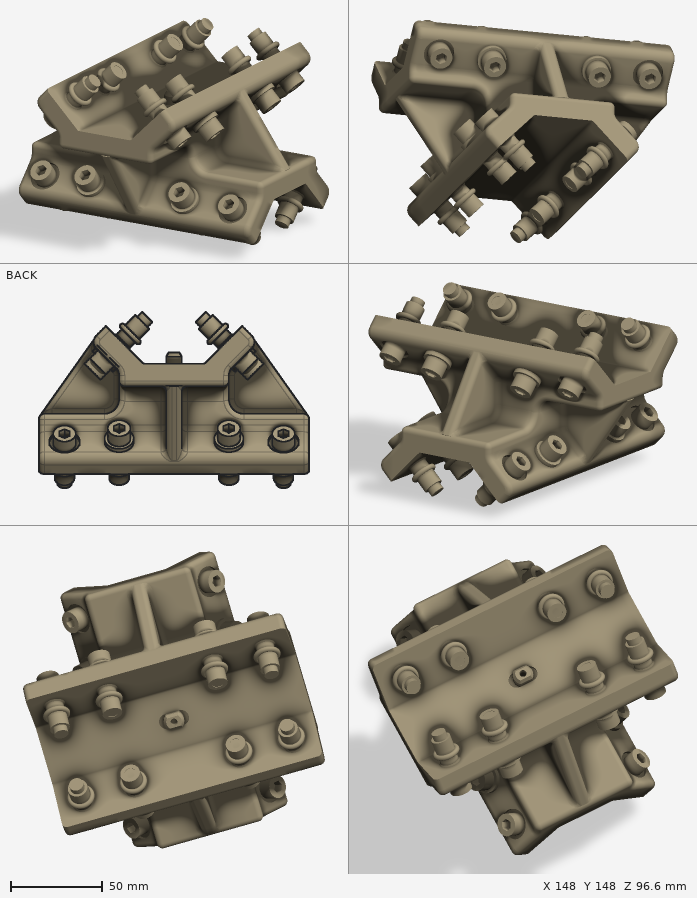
import cadquery as cq
import math

length = 148.0
floor_height = 20.0
floor_half_width = 16.7
thickness = 12.5
wing_tip_x = 37.3
core_half_width = 30.0

back_height = floor_height - thickness
wing_tip_z = floor_height + wing_tip_x - floor_half_width
wing_step = thickness / math.sqrt(2)
wing_corner_x = wing_tip_x + wing_step
wing_corner_z = wing_tip_z - wing_step
wing_root_z = wing_corner_z - (wing_corner_x - core_half_width)

floor_corner_radius = 1.5
wing_radius = 5.0
core_blend_radius = 8.1
edge_radius = 3.0

rib_thickness = 8.6
rib_foot_x = 72.7
rib_top_x = 43.2
rib_top_z = 34.0
rib_edge_radius = 3.0
rib_root_radius = 3.0
rib_embed = 3.0

bolt_wing_x = 28.4
outer_bolt_y = 60.0
inner_bolt_y = 30.0
bolt_tilt = 45
flare_radius = 6.0
flare_height = 0.7
neck_radius = 5.2
ring_position = 6.4
ring_radius = 7.5
ring_half_height = 1.3
sleeve_radius = 5.5
sleeve_end = 15.7
thread_radius = 4.0
thread_end = 19.5
recess_radius = 3.1
recess_depth = 0.3
head_radius = 6.2
head_height = 8.0
socket_width = 5.9
socket_turn = 30
socket_depth = 5.5
spotface_radius = 8.5
spotface_depth = 1.6
washer_radius = 8.0
washer_thickness = 2.5

key_width = 8.6
key_radius = 5.6
key_height = 6.0
key_bevel_height = 2.2
key_bevel_width = 1.3
slot_length = 16.7
slot_depth = 1.5
pin_hole_radius = 1.9

overlap = 0.7
tolerance = 0.07


def edges_near(body, points):
    """Edges of the body whose midpoint lies at one of the points."""
    found = []
    for edge in body.edges().vals():
        middle = edge.positionAt(0.5)
        if any((middle - cq.Vector(*p)).Length < tolerance for p in points):
            found.append(edge)
    return body.newObject(found)


def turn_over(body):
    """Map the upper half of the part onto the lower half."""
    return body.rotate((0, 0, 0), (1, 1, 0), 180)


def cradle():
    """Upper channel along Y, with its lengthwise corners rounded."""
    half = [
        (floor_half_width, floor_height),
        (wing_tip_x, wing_tip_z),
        (wing_corner_x, wing_corner_z),
        (core_half_width, wing_root_z),
        (core_half_width, back_height),
    ]
    outline = half + [(-x, z) for x, z in reversed(half)]
    body = cq.Workplane("XZ").polyline(outline).close().extrude(length / 2, both=True)
    for (x, z), radius in (
        (half[0], floor_corner_radius),
        (half[2], wing_radius),
        (half[3], wing_radius),
    ):
        body = edges_near(body, [(x, 0, z), (-x, 0, z)]).fillet(radius)
    return body


def half_frame():
    """Upper cradle standing on the core, with its outer edges rounded."""
    c = core_half_width
    column = cq.Workplane("XY").box(2 * c, 2 * c, 2 * (back_height + overlap))
    body = cradle().union(column).clean()

    body = edges_near(body, [(0, y, back_height) for y in (-c, c)]).fillet(core_blend_radius)

    chain_y = (length / 2 + c + core_blend_radius) / 2
    chain_edges = [(x, y, back_height) for x in (-c, c) for y in (-chain_y, chain_y)]
    body = edges_near(body, chain_edges).fillet(edge_radius)

    return body.newObject(end_edges(body)).fillet(edge_radius)


def end_edges(body):
    """Edges of the two end faces, apart from those along the floor and the inner wing faces."""
    kept = []
    for edge in body.faces("<Y or >Y").edges().vals():
        middle = edge.positionAt(0.5)
        inner_z = floor_height + max(abs(middle.x) - floor_half_width, 0)
        if middle.z < inner_z - overlap:
            kept.append(edge)
    return kept


def rib():
    """Web above the lower cradle's back, from its +X end up to the upper cradle's wing."""
    core_x = core_half_width / 2
    outline = [
        (core_x, -back_height - rib_embed),
        (rib_foot_x - rib_embed, -back_height - rib_embed),
        (rib_foot_x, -back_height),
        (rib_top_x, rib_top_z),
        (core_half_width, wing_root_z + rib_embed),
        (core_x, wing_root_z),
    ]
    web = cq.Workplane("XZ").polyline(outline).close().extrude(rib_thickness / 2, both=True)
    middle_x = (rib_foot_x + rib_top_x) / 2
    middle_z = (rib_top_z - back_height) / 2
    sides = [(middle_x, y, middle_z) for y in (-rib_thickness / 2, rib_thickness / 2)]
    return edges_near(web, sides).fillet(rib_edge_radius)


def add_rib(body):
    """Join a rib to the +X side of the body and blend its root into the faces around it."""
    body = body.union(rib())
    root_edges = []
    for edge in body.edges().vals():
        box = edge.BoundingBox()
        on_rib_side = box.ylen < tolerance and abs(abs(box.center.y) - rib_thickness / 2) < tolerance
        is_outer_slope = box.zlen > rib_top_z / 2
        if on_rib_side and box.xmin > 0 and not is_outer_slope:
            root_edges.append(edge)
    return body.newObject(root_edges).fillet(rib_root_radius)


def frame():
    """Both halves joined back to back, with four ribs."""
    upper = half_frame()
    body = upper.union(turn_over(upper))
    for _ in range(2):
        for _ in range(2):
            body = add_rib(body).rotate((0, 0, 0), (0, 0, 1), 180)
        body = turn_over(body)
    return body


def bolt_cylinder(start, end, radius):
    """Cylinder about the vertical axis between two heights."""
    return cq.Workplane("XY").workplane(offset=start).circle(radius).extrude(end - start)


def bolt_sleeve():
    """Sleeve standing on the inner wing face: flared foot, neck, round ring and end barrel."""
    ring_bottom = ring_position - ring_half_height
    ring_top = ring_position + ring_half_height
    return (
        cq.Workplane("XZ")
        .moveTo(0, -overlap)
        .lineTo(flare_radius, -overlap)
        .lineTo(flare_radius, 0)
        .lineTo(neck_radius, flare_height)
        .lineTo(neck_radius, ring_bottom)
        .lineTo(sleeve_radius, ring_bottom)
        .threePointArc((ring_radius, ring_position), (sleeve_radius, ring_top))
        .lineTo(sleeve_radius, sleeve_end)
        .lineTo(0, sleeve_end)
        .close()
        .revolve(360, (0, 0), (0, 1))
    )


def bolt_head(seat):
    """Socket head resting on the seat, with a shank reaching into the wing."""
    head_end = seat - head_height
    head = bolt_cylinder(head_end, seat, head_radius)
    shank = bolt_cylinder(seat - overlap, 0, sleeve_radius)
    socket = (
        cq.Workplane("XY")
        .workplane(offset=head_end)
        .polygon(6, socket_width, circumscribed=True)
        .extrude(socket_depth)
        .rotate((0, 0, 0), (0, 0, 1), socket_turn)
    )
    return head.union(shank).cut(socket)


def outer_bolt():
    """Long bolt in a spotface, its thread standing out of the sleeve."""
    thread = bolt_cylinder(sleeve_end - overlap, thread_end, thread_radius)
    return bolt_head(-thickness + spotface_depth).union(bolt_sleeve()).union(thread)


def inner_bolt():
    """Bolt on a proud washer, leaving a shallow round recess in the end of the sleeve."""
    seat = -thickness - washer_thickness
    washer = bolt_cylinder(seat, -thickness + overlap, washer_radius)
    recess = bolt_cylinder(sleeve_end - recess_depth, sleeve_end, recess_radius)
    return bolt_head(seat).union(washer).union(bolt_sleeve()).cut(recess)


def spotface():
    """Cutter that sinks the outer bolt heads into the wing."""
    bottom = -thickness + spotface_depth
    return bolt_cylinder(bottom - head_height, bottom, spotface_radius)


def on_wing(body, y):
    """Place a vertical-axis body on the -X wing, with zero height on its inner face."""
    wing_z = floor_height + bolt_wing_x - floor_half_width
    return body.rotate((0, 0, 0), (0, 1, 0), bolt_tilt).translate((-bolt_wing_x, y, wing_z))


def on_all_wings(body, y):
    """Copies at -y and +y on both wings of both cradles."""
    left = on_wing(body, y).union(on_wing(body, -y))
    upper = left.union(left.rotate((0, 0, 0), (0, 0, 1), 180))
    return upper.union(turn_over(upper))


def key():
    """Flat-sided round key with a bevelled top, standing on the upper floor."""
    half_width = key_width / 2
    flat_half = math.sqrt(key_radius**2 - half_width**2)
    outline = (
        cq.Workplane("XY")
        .moveTo(half_width, -flat_half)
        .lineTo(half_width, flat_half)
        .threePointArc((0, key_radius), (-half_width, flat_half))
        .lineTo(-half_width, -flat_half)
        .threePointArc((0, -key_radius), (half_width, -flat_half))
        .close()
    )
    straight = key_height - key_bevel_height + slot_depth + overlap
    bevel_angle = math.degrees(math.atan(key_bevel_width / key_bevel_height))
    base = outline.extrude(straight)
    bevel = base.faces(">Z").wires().toPending().workplane().extrude(key_bevel_height, taper=bevel_angle)
    return bevel.translate((0, 0, floor_height - slot_depth - overlap))


def key_slot():
    """Shallow round-ended slot around the key."""
    return (
        cq.Workplane("XY")
        .workplane(offset=floor_height - slot_depth)
        .slot2D(slot_length, key_width, 90)
        .extrude(slot_depth)
    )


pin_hole = cq.Workplane("XY").circle(pin_hole_radius).extrude(length, both=True)

result = frame()
result = result.cut(on_all_wings(spotface(), outer_bolt_y))
result = result.union(on_all_wings(outer_bolt(), outer_bolt_y))
result = result.union(on_all_wings(inner_bolt(), inner_bolt_y))
result = result.cut(key_slot()).cut(turn_over(key_slot()))
result = result.union(key()).union(turn_over(key()))
result = result.cut(pin_hole)